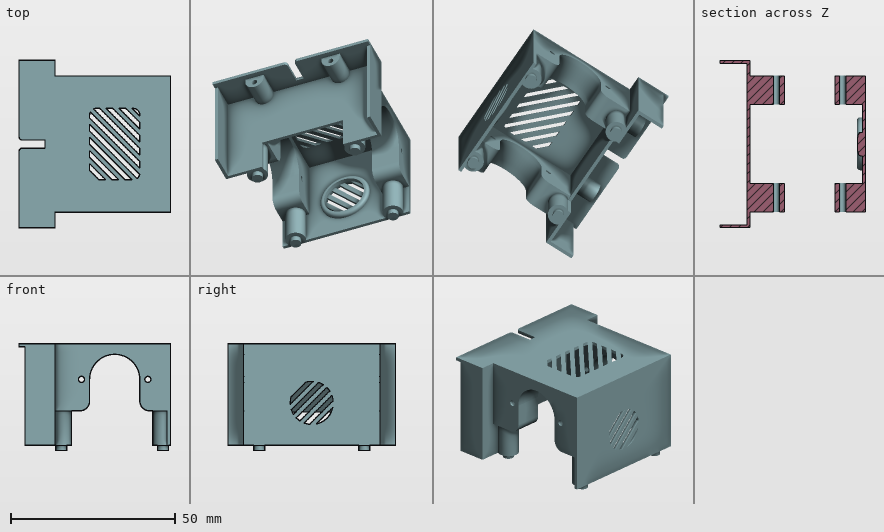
import cadquery as cq
import math


length = 46.1
wing_span = 51.0
body_width = 41.5
total_height = 32.6
peg_length = 1.6
wall = 1.0
wall_height = total_height - peg_length
roof_overhang = 1.8
body_front = 10.0
wing_back = body_front + wall

notch_width = 2.4
notch_depth = 7.85
notch_corner_radius = 1.0

window_width = 26.6
window_top_depth = 20.9

side_height = 20.5
side_inner_gap = 23.95
arch_x = 29.1
arch_depth = 10.9
arch_width = 15.2
arch_foot_radius = 3.0
side_hole_diameter = 1.8
side_hole_spacing = 20.2

slot_step_along_edge = 4.0
slot_pitch = slot_step_along_edge / math.sqrt(2)
slot_width = slot_pitch / 2
roof_grille_length = arch_width
roof_grille_width = 21.7
roof_grille_corner_radius = 2.0
roof_slot_shift = 0.9

ring_depth = 18.05
ring_outer_diameter = 16.1
ring_hole_diameter = 13.1
ring_height = 1.55
ring_edge_radius = 1.0
back_slot_shift = -0.6

lug_spacing = 25.0
lug_radius = 3.0
lug_centre_depth = 2.0
lug_front = roof_overhang
lug_hole_diameter = 1.8
lug_hole_centre_depth = 3.05

post_diameter = 6.4
peg_diameter = 3.4
post_x = (12.85, 43.8)
post_spacing_y = 31.95


def block(x0, x1, width, top, bottom):
    """Box from x0 to x1, centred on Y = 0, between two depths below the top face."""
    return (
        cq.Workplane("XY", origin=((x0 + x1) / 2, 0, -bottom))
        .box(x1 - x0, width, bottom - top, centered=(True, True, False))
    )


def along_x(x, depth):
    """Work plane facing +X: local x is Y, local y is Z."""
    return cq.Workplane("YZ", origin=(x, 0, -depth))


def slots(span, thickness, shift):
    """Parallel slots at 45 degrees, centred on the XY plane."""
    count = math.ceil(span / slot_pitch) + 1
    bars = cq.Workplane("XY")
    for i in range(-count, count + 1):
        bars = bars.union(
            cq.Workplane("XY")
            .center(0, shift + i * slot_pitch)
            .box(2 * span, slot_width, thickness)
        )
    return bars.rotate((0, 0, 0), (0, 0, 1), -45)


def make_shell():
    """Roof, wings, front and back walls, and the two thick side walls."""
    wings = block(roof_overhang, wing_back, wing_span, 0, wall_height).cut(
        block(roof_overhang, wing_back, wing_span - 2 * wall, 0, wall_height)
    )
    roof = block(0, wing_back, wing_span, 0, wall).union(block(0, length, body_width, 0, wall))
    front = block(body_front, wing_back, wing_span, 0, wall_height).cut(
        block(body_front, wing_back, window_width, window_top_depth, wall_height)
    )
    back = block(length - wall, length, body_width, 0, wall_height)
    sides = block(body_front, length, body_width, 0, side_height).cut(
        block(body_front, length, side_inner_gap, 0, side_height)
    )
    return roof.union(wings).union(front).union(back).union(sides)


def make_notch():
    """Slot in the roof edge, flared by rounded outer corners."""
    half = notch_width / 2
    r = notch_corner_radius
    return (
        cq.Workplane("XY", origin=(0, 0, -wall))
        .moveTo(0, half + r)
        .radiusArc((r, half), -r)
        .lineTo(notch_depth, half)
        .lineTo(notch_depth, -half)
        .lineTo(r, -half)
        .radiusArc((0, -half - r), -r)
        .close()
        .extrude(wall)
    )


def make_arch():
    """Arched passage through both side walls, flared at its foot."""
    r = arch_width / 2
    foot = arch_foot_radius
    left = arch_x - r
    right = arch_x + r
    return (
        cq.Workplane("XZ")
        .moveTo(left - foot, -side_height)
        .radiusArc((left, foot - side_height), -foot)
        .lineTo(left, -arch_depth)
        .threePointArc((arch_x, r - arch_depth), (right, -arch_depth))
        .lineTo(right, foot - side_height)
        .radiusArc((right + foot, -side_height), -foot)
        .close()
        .extrude(body_width / 2, both=True)
    )


def make_side_holes():
    """Screw holes either side of the arch, through both side walls."""
    return (
        cq.Workplane("XZ", origin=(arch_x, 0, -arch_depth))
        .pushPoints([(-side_hole_spacing / 2, 0), (side_hole_spacing / 2, 0)])
        .circle(side_hole_diameter / 2)
        .extrude(body_width / 2, both=True)
    )


def make_roof_grille():
    """Slots clipped to a rounded rectangle in the roof."""
    opening = (
        cq.Workplane("XY")
        .box(roof_grille_length, roof_grille_width, 2 * wall)
        .edges("|Z")
        .fillet(roof_grille_corner_radius)
    )
    pattern = slots(roof_grille_width, 2 * wall, roof_slot_shift)
    return opening.intersect(pattern).translate((arch_x, 0, 0))


def make_ring():
    """Round-edged ring on the inner face of the back wall."""
    return (
        along_x(length - wall - ring_height, ring_depth)
        .circle(ring_outer_diameter / 2)
        .extrude(ring_height)
        .faces("<X")
        .edges()
        .fillet(ring_edge_radius)
        .cut(
            along_x(length - wall - ring_height, ring_depth)
            .circle(ring_hole_diameter / 2)
            .extrude(ring_height)
        )
    )


def make_back_grille():
    """Slots clipped to the ring's bore, through the back wall."""
    opening = cq.Workplane("XY").circle(ring_hole_diameter / 2).extrude(wall, both=True)
    pattern = slots(ring_hole_diameter, 2 * wall, back_slot_shift)
    return (
        opening.intersect(pattern)
        .rotate((0, 0, 0), (0, 1, 0), -90)
        .rotate((0, 0, 0), (1, 0, 0), 90)
        .translate((length, 0, -ring_depth))
    )


def make_lug(y):
    """Round-bottomed lug joined to the roof and the front wall."""
    return (
        along_x(lug_front, 0)
        .moveTo(y - lug_radius, 0)
        .lineTo(y - lug_radius, -lug_centre_depth)
        .threePointArc((y, -lug_centre_depth - lug_radius), (y + lug_radius, -lug_centre_depth))
        .lineTo(y + lug_radius, 0)
        .close()
        .extrude(body_front - lug_front)
    )


def make_lug_hole(y):
    """Screw hole along a lug, ending at the front wall."""
    return (
        along_x(lug_front, lug_hole_centre_depth)
        .center(y, 0)
        .circle(lug_hole_diameter / 2)
        .extrude(body_front - lug_front)
    )


def make_post(x, y):
    """Post below a side wall, trimmed to the body, with a peg at its foot."""
    post = (
        cq.Workplane("XY", origin=(x, y, -wall_height))
        .circle(post_diameter / 2)
        .extrude(wall_height - side_height)
        .intersect(block(body_front, length, body_width, 0, wall_height))
    )
    peg = (
        cq.Workplane("XY", origin=(x, y, -total_height))
        .circle(peg_diameter / 2)
        .extrude(peg_length)
    )
    return post.union(peg)


result = make_shell().cut(make_notch()).cut(make_arch()).cut(make_side_holes())
result = result.cut(make_roof_grille()).cut(make_back_grille()).union(make_ring())
for side in (-1, 1):
    lug_y = side * lug_spacing / 2
    result = result.union(make_lug(lug_y)).cut(make_lug_hole(lug_y))
    for x in post_x:
        result = result.union(make_post(x, side * post_spacing_y / 2))